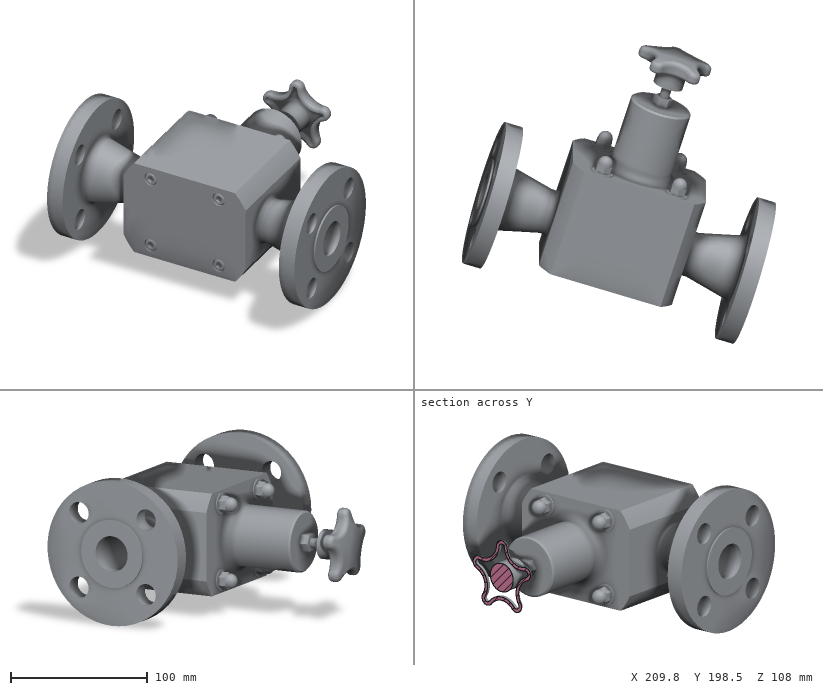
import cadquery as cq
import math


overall_length = 209.8
flange_diameter = 108.0
flange_thickness = 13.0
raised_face_diameter = 50.8
raised_face_height = 1.5
bore_diameter = 26.6
bolt_hole_diameter = 16.0
bolt_circle_diameter = 78.9
bolt_hole_count = 4
neck_diameter = 33.4
neck_length = 5.5
cone_base_diameter = 49.5
neck_fillet = 2.5
flange_fillet = 3.1

body_length = 102.0
body_height = 76.8
body_corner_diameter = 114.1
body_front = -33.1
body_back = 49.7

fastener_spacing = 57.0
counterbore_diameter = 10.3
counterbore_depth = 5.2
screw_head_diameter = 9.5
screw_head_recess = 0.2
screw_head_chamfer = 0.6
socket_across_flats = 4.8
socket_depth = 2.5
socket_cone_depth = 1.3
washer_diameter = 16.0
washer_thickness = 0.8
cap_nut_across_flats = 11.0
cap_nut_hex_height = 5.5
cap_nut_collar_height = 1.5

bonnet_diameter = 45.7
bonnet_end = 103.6
bonnet_chamfer = 1.3
bonnet_root_fillet = 6.3
lock_nut_across_flats = 12.4
lock_nut_height = 6.3
spindle_diameter = 7.3

hub_diameter = 22.0
hub_start = 119.5
wheel_start = 132.5
wheel_end = 144.5
wheel_arm_count = 5
arm_tip_diameter = 10.5
arm_tip_center_radius = 23.3
arm_flank_radius = 12.5
wheel_dome_radius = 94.5
wheel_rim_fillet = 2.5
wheel_top_fillet = 3.4
wheel_wall = 3.0
wheel_cavity_depth = 5.2
hub_root_fillet = 2.5

overlap = 1.0
hex_corner_ratio = 1 / math.cos(math.pi / 6)


def plane_at(y):
    """Plane facing +Y at the given height; its local x is +Z and its local y is +X."""
    return cq.Workplane(cq.Plane(origin=(0, y, 0), xDir=(0, 0, 1), normal=(0, 1, 0)))


def cylinder(diameter, start, end):
    return plane_at(start).circle(diameter / 2).extrude(end - start)


def hexagon(across_flats, start, end, corner_along_x=False):
    prism = plane_at(start).polygon(6, across_flats * hex_corner_ratio).extrude(end - start)
    if corner_along_x:
        prism = prism.rotate((0, 0, 0), (0, 1, 0), 90)
    return prism


def fastener_points():
    half = fastener_spacing / 2
    return [(x, z) for x in (-half, half) for z in (-half, half)]


def make_body():
    """Block whose four long edges are rounded about the spindle axis."""
    depth = body_back - body_front
    block = plane_at(body_front).rect(body_height, body_length).extrude(depth)
    return block.intersect(cylinder(body_corner_diameter, body_front, body_back))


def make_connection():
    """Flanged connection on the +X side, with its blind bore left uncut."""
    body_face = body_length / 2
    face = overall_length / 2
    flange_front = face - raised_face_height
    flange_rear = flange_front - flange_thickness
    neck_radius = neck_diameter / 2
    cone_radius = cone_base_diameter / 2
    cone_start = body_face + neck_length

    cone_angle = math.atan2(cone_radius - neck_radius, flange_rear - cone_start)
    tangent_length = flange_fillet * math.tan((math.pi / 2 - cone_angle) / 2)
    fillet_start_x = flange_rear - tangent_length * math.cos(cone_angle)
    fillet_start_radius = cone_radius - tangent_length * math.sin(cone_angle)
    profile = (
        cq.Workplane("XY")
        .moveTo(body_face - overlap, 0)
        .lineTo(body_face - overlap, neck_radius + neck_fillet)
        .lineTo(body_face, neck_radius + neck_fillet)
        .radiusArc((body_face + neck_fillet, neck_radius), -neck_fillet)
        .lineTo(cone_start, neck_radius)
        .lineTo(fillet_start_x, fillet_start_radius)
        .radiusArc((flange_rear, cone_radius + tangent_length), -flange_fillet)
        .lineTo(flange_rear, flange_diameter / 2)
        .lineTo(flange_front, flange_diameter / 2)
        .lineTo(flange_front, raised_face_diameter / 2)
        .lineTo(face, raised_face_diameter / 2)
        .lineTo(face, 0)
        .close()
    )
    connection = profile.revolve(360, (0, 0, 0), (1, 0, 0))
    bolt_holes = (
        cq.Workplane("YZ", origin=(flange_rear, 0, 0))
        .polarArray(bolt_circle_diameter / 2, 180 / bolt_hole_count, 360, bolt_hole_count)
        .circle(bolt_hole_diameter / 2)
        .extrude(flange_thickness)
    )
    return connection.cut(bolt_holes)


def make_bore():
    """Blind bore running from the +X connection face to the side of the body."""
    body_face = body_length / 2
    bore = cq.Workplane("YZ", origin=(body_face, 0, 0)).circle(bore_diameter / 2)
    return bore.extrude(overall_length / 2 - body_face)


def make_screw_recess():
    """Space left around and inside one socket head screw sunk in the front face."""
    floor = body_front + counterbore_depth
    head_face = body_front + screw_head_recess
    head = cylinder(screw_head_diameter, head_face, floor).faces("<Y").chamfer(screw_head_chamfer)
    wall_end = head_face + socket_depth
    socket_end = wall_end + socket_cone_depth
    socket_diameter = socket_across_flats * hex_corner_ratio
    cone = cq.Solid.makeCone(
        socket_diameter / 2, 0, socket_cone_depth, cq.Vector(0, wall_end, 0), cq.Vector(0, 1, 0)
    )
    pointed_drill = cylinder(socket_diameter, head_face, wall_end).union(cq.Workplane(cone))
    socket = hexagon(socket_across_flats, head_face, socket_end).intersect(pointed_drill)
    head = head.cut(socket)
    return cylinder(counterbore_diameter, body_front, floor).cut(head)


def make_cap_nut():
    """Washer, hexagon and domed cap on the back face."""
    radius = cap_nut_across_flats / 2
    hex_end = body_back + washer_thickness + cap_nut_hex_height
    dome_center = hex_end + cap_nut_collar_height
    washer = cylinder(washer_diameter, body_back - overlap, body_back + washer_thickness)
    collar = cylinder(cap_nut_across_flats, hex_end, dome_center)
    dome = plane_at(dome_center).sphere(radius)
    return washer.union(hexagon(cap_nut_across_flats, body_back, hex_end)).union(collar).union(dome)


def root_flare(diameter, face, radius, direction):
    """Hollow-rounded collar where a round stem leaves a face toward +Y (1) or -Y (-1)."""
    stem_radius = diameter / 2
    profile = (
        cq.Workplane("XY")
        .moveTo(0, face - direction * overlap)
        .lineTo(stem_radius + radius, face - direction * overlap)
        .lineTo(stem_radius + radius, face)
        .radiusArc((stem_radius, face + direction * radius), direction * radius)
        .lineTo(0, face + direction * radius)
        .close()
    )
    return profile.revolve(360, (0, 0, 0), (0, 1, 0))


def make_bonnet():
    """Round bonnet with a flared root and a chamfered end."""
    barrel = cylinder(bonnet_diameter, body_back, bonnet_end).faces(">Y").chamfer(bonnet_chamfer)
    return barrel.union(root_flare(bonnet_diameter, body_back, bonnet_root_fillet, 1))


def star(start, height, inset):
    """Star prism with round arm tips joined by hollow arcs, shrunk evenly by the inset."""
    half_pitch = math.pi / wheel_arm_count
    tip_radius = arm_tip_diameter / 2 - inset
    flank_radius = arm_flank_radius + inset
    half_gap = arm_tip_center_radius * math.sin(half_pitch)
    center_rise = math.sqrt((flank_radius + tip_radius) ** 2 - half_gap**2)
    flank_center_radius = arm_tip_center_radius * math.cos(half_pitch) + center_rise
    valley_reach = flank_center_radius - flank_radius
    tip_reach = arm_tip_center_radius + tip_radius

    joint_direction = half_pitch + math.atan2(half_gap, center_rise)
    joint_along = arm_tip_center_radius + tip_radius * math.cos(joint_direction)
    joint_across = tip_radius * math.sin(joint_direction)
    joint_reach = math.hypot(joint_along, joint_across)
    joint_angle = math.atan2(joint_across, joint_along)

    def polar(reach, angle):
        return (reach * math.cos(angle), reach * math.sin(angle))

    outline = plane_at(start).moveTo(*polar(joint_reach, -joint_angle))
    for arm in range(wheel_arm_count):
        axis = 2 * half_pitch * arm
        next_axis = axis + 2 * half_pitch
        outline = outline.threePointArc(polar(tip_reach, axis), polar(joint_reach, axis + joint_angle))
        outline = outline.threePointArc(
            polar(valley_reach, axis + half_pitch), polar(joint_reach, next_axis - joint_angle)
        )
    return outline.close().extrude(height)


def make_handwheel():
    """Domed star wheel, hollow underneath, on a round hub."""
    dome = plane_at(wheel_end - wheel_dome_radius).sphere(wheel_dome_radius)
    wheel = star(wheel_start, wheel_end - wheel_start, 0).intersect(dome)
    wheel = wheel.faces("<Y").edges().fillet(wheel_rim_fillet)
    wheel = wheel.faces(">Y").edges().fillet(wheel_top_fillet)
    wheel = wheel.cut(star(wheel_start, wheel_cavity_depth, wheel_wall))
    cavity_floor = wheel_start + wheel_cavity_depth
    hub = cylinder(hub_diameter, hub_start, cavity_floor + overlap)
    return wheel.union(hub).union(root_flare(hub_diameter, cavity_floor, hub_root_fillet, -1))


result = make_body().union(make_bonnet())

connection = make_connection()
bore = make_bore()
result = result.union(connection).union(connection.mirror("YZ"))
result = result.cut(bore).cut(bore.mirror("YZ"))

screw_recess = make_screw_recess()
cap_nut = make_cap_nut()
for x, z in fastener_points():
    result = result.cut(screw_recess.translate((x, 0, z)))
    result = result.union(cap_nut.translate((x, 0, z)))

lock_nut_end = bonnet_end + lock_nut_height
result = result.union(hexagon(lock_nut_across_flats, bonnet_end, lock_nut_end, corner_along_x=True))
result = result.union(cylinder(spindle_diameter, bonnet_end, hub_start))
result = result.union(make_handwheel())